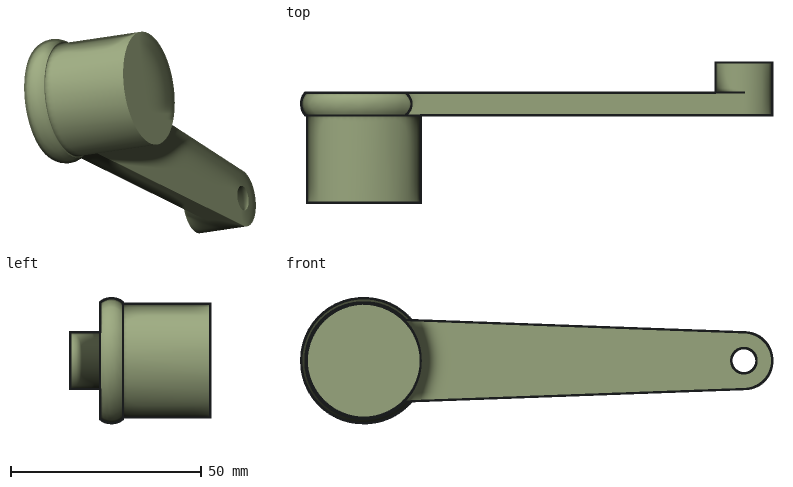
import cadquery as cq

total_length = 124.0
arm_thickness = 6.0

knob_diameter = 30.0
knob_length = 23.1
ring_diameter = 33.0
ring_edge_diameter = 30.8

pivot_diameter = 15.0
pivot_length = 7.9
bore_diameter = 6.6

arm_root_width = 22.3
pivot_x = total_length - ring_diameter / 2 - pivot_diameter / 2


def cylinder_along_y(x, diameter, y_start, y_end):
    """Solid cylinder parallel to Y, between two Y positions."""
    return (
        cq.Workplane("XZ", origin=(x, y_start, 0))
        .circle(diameter / 2)
        .extrude(y_start - y_end)
    )


def bulged_ring():
    """Disc with a convex rim, as thick as the arm."""
    return (
        cq.Workplane("XY")
        .lineTo(ring_edge_diameter / 2, 0)
        .threePointArc(
            (ring_diameter / 2, arm_thickness / 2),
            (ring_edge_diameter / 2, arm_thickness),
        )
        .lineTo(0, arm_thickness)
        .close()
        .revolve(360, (0, 0, 0), (0, 1, 0))
    )


def tapered_arm():
    """Flat arm with a round end about the pivot axis."""
    return (
        cq.Workplane("XZ")
        .moveTo(0, -arm_root_width / 2)
        .lineTo(pivot_x, -pivot_diameter / 2)
        .threePointArc(
            (pivot_x + pivot_diameter / 2, 0),
            (pivot_x, pivot_diameter / 2),
        )
        .lineTo(0, arm_root_width / 2)
        .close()
        .extrude(-arm_thickness)
    )


pivot_end_y = arm_thickness + pivot_length

knob = cylinder_along_y(0, knob_diameter, -knob_length, 0)
pivot_boss = cylinder_along_y(pivot_x, pivot_diameter, 0, pivot_end_y)
bore = cylinder_along_y(pivot_x, bore_diameter, 0, pivot_end_y)

result = bulged_ring().union(tapered_arm()).union(knob).union(pivot_boss).cut(bore)